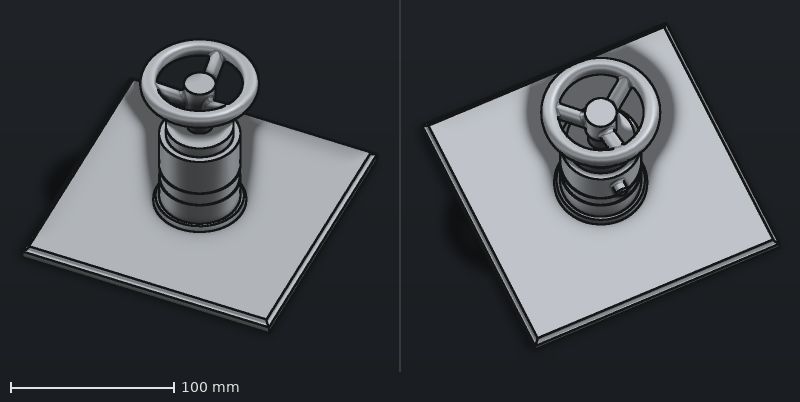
import cadquery as cq
import math

plate_side = 165.1
plate_top_z = 8.1
cove_radius = 3.0

flare_foot_radius = 28.5
flare_top_radius = 27.0
flare_top_z = 11.5
body_radius = 25.0
band_radius = 24.5
band_bottom_z = 27.4
band_top_z = 37.3
body_top_z = 64.7
cap_radius = 20.8
cap_top_z = 72.3
stem_radius = 8.0

overall_height = 113.0
wheel_radius = 36.5
rim_radius = 5.1
rim_center_radius = wheel_radius - rim_radius
rim_center_z = overall_height - rim_radius
hub_radius = 9.7
hub_bottom_z = 87.5
hub_top_z = rim_center_z
spoke_radius = 4.8
spoke_slope = 30.0
spoke_directions = (90.0, 210.0, 330.0)
spoke_root_fillet = 2.0
spoke_tip_fillet = 1.7

button_radius = 3.8
button_z = 54.0
button_reach = 32.4
button_chamfer = 1.3


def make_plate():
    """Square slab with a concave quarter-round cut along each upper edge."""
    half_side = plate_side / 2
    plate = cq.Workplane("XY").rect(plate_side, plate_side).extrude(plate_top_z)
    cove_cutter = (
        cq.Workplane("XZ", origin=(0, half_side, 0))
        .center(half_side, plate_top_z)
        .circle(cove_radius)
        .extrude(plate_side)
    )
    for turn in (0, 90, 180, 270):
        plate = plate.cut(cove_cutter.rotate((0, 0, 0), (0, 0, 1), turn))
    return plate


def make_column():
    """Flared foot, grooved body, cap, stem and hub as one revolved profile."""
    return (
        cq.Workplane("XZ")
        .moveTo(0, 0)
        .lineTo(flare_foot_radius, 0)
        .lineTo(flare_foot_radius, plate_top_z)
        .lineTo(flare_top_radius, flare_top_z)
        .lineTo(body_radius, flare_top_z)
        .lineTo(body_radius, band_bottom_z)
        .lineTo(band_radius, band_bottom_z)
        .lineTo(band_radius, band_top_z)
        .lineTo(body_radius, band_top_z)
        .lineTo(body_radius, body_top_z)
        .lineTo(cap_radius, body_top_z)
        .lineTo(cap_radius, cap_top_z)
        .lineTo(stem_radius, cap_top_z)
        .lineTo(stem_radius, hub_bottom_z)
        .lineTo(hub_radius, hub_bottom_z)
        .lineTo(hub_radius, hub_top_z)
        .lineTo(0, hub_top_z)
        .close()
        .revolve(360, (0, 0, 0), (0, 1, 0))
    )


def make_spoke(direction):
    """Round bar climbing from the column axis to the center of the rim."""
    slope = math.radians(spoke_slope)
    heading = math.radians(direction)
    length = rim_center_radius / math.cos(slope)
    start_z = rim_center_z - rim_center_radius * math.tan(slope)
    axis = cq.Vector(
        math.cos(heading) * math.cos(slope),
        math.sin(heading) * math.cos(slope),
        math.sin(slope),
    )
    return cq.Workplane(obj=cq.Solid.makeCylinder(spoke_radius, length, cq.Vector(0, 0, start_z), axis))


def make_rim():
    return cq.Workplane(obj=cq.Solid.makeTorus(rim_center_radius, rim_radius, cq.Vector(0, 0, rim_center_z)))


def make_button():
    return (
        cq.Workplane("XZ", origin=(0, 0, button_z))
        .circle(button_radius)
        .extrude(-button_reach)
        .faces(">Y")
        .chamfer(button_chamfer)
    )


def round_spoke_roots(body):
    """Fillet the seams where the spokes leave the hub."""
    reach = hub_radius + spoke_radius
    around_hub = cq.selectors.BoxSelector(
        (-reach, -reach, hub_bottom_z + 0.2),
        (reach, reach, hub_top_z - 0.2),
    )
    return body.edges(around_hub).fillet(spoke_root_fillet)


def round_spoke_tips(body):
    """Fillet the free-form seams where the spokes run into the rim."""
    seam_zone = (hub_radius + rim_center_radius) / 2

    def is_at_rim(edge):
        center = edge.Center()
        return math.hypot(center.x, center.y) > seam_zone

    return body.edges("%BSPLINE").filter(is_at_rim).fillet(spoke_tip_fillet)


result = make_plate().union(make_column()).union(make_button())
for spoke_direction in spoke_directions:
    result = result.union(make_spoke(spoke_direction))
result = round_spoke_roots(result)
result = result.union(make_rim(), clean=False)
result = round_spoke_tips(result)